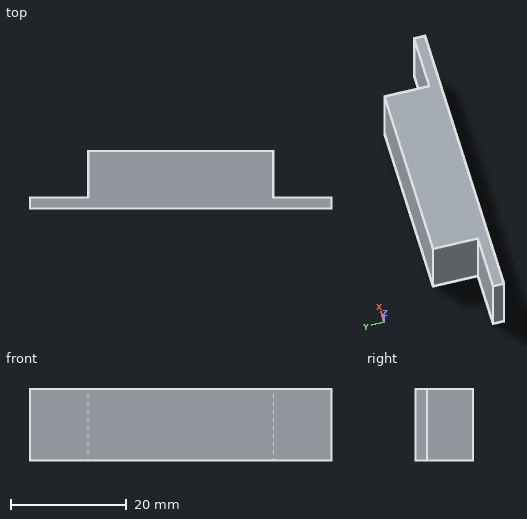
import cadquery as cq

length = 52.0
depth = 10.0
height = 12.4

plate_thickness = 2.0
block_length = 32.0
block_depth = depth - plate_thickness

plate = cq.Workplane("XY").box(length, plate_thickness, height, centered=(True, False, True))

block = (
    cq.Workplane("XY", origin=(0, plate_thickness, 0))
    .box(block_length, block_depth, height, centered=(True, False, True))
)

result = plate.union(block)